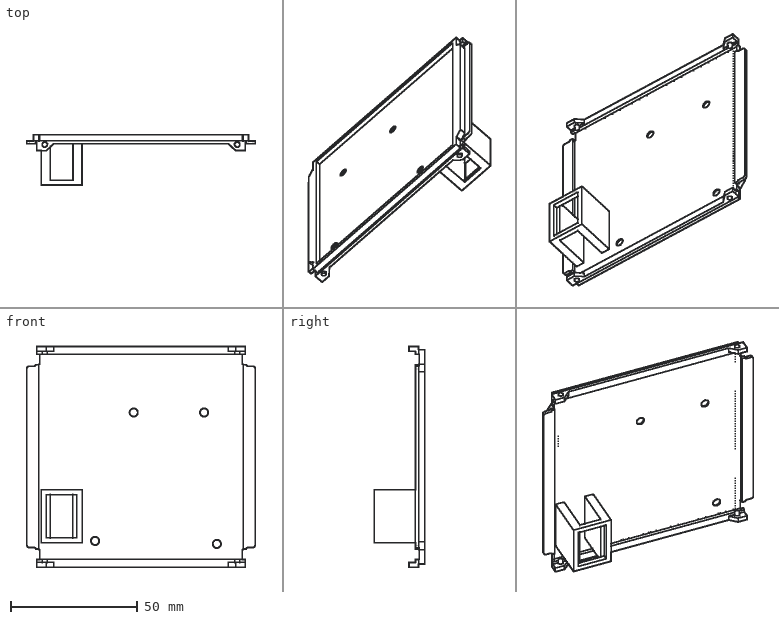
import cadquery as cq

PLATE_THICKNESS = 2.4
PLATE_HALF_HEIGHT = 42.5
PLATE_HALF_WIDTH_MIDDLE = 42.65
PLATE_HALF_WIDTH_ENDS = 40.2
SLANT_START_HALF_HEIGHT = 33.7
SLANT_END_HALF_HEIGHT = 36.8

SHEET_THICKNESS = 0.5
FRONT_RECESS_DEPTH = 0.2
SHEET_FRONT = PLATE_THICKNESS - FRONT_RECESS_DEPTH
POCKET_WALL = 2.0

RIM_THICKNESS = 1.3
RIM_FRONT = PLATE_THICKNESS + RIM_THICKNESS

LIP_HALF_WIDTH = 41.4
LIP_OUTER_HALF_HEIGHT = 87.6 / 2
LIP_HEIGHT = 3.2

EAR_THICKNESS = 2.0
EAR_FRONT = 6.3
EAR_TIP_INNER_X = 37.5
EAR_ROOT_INNER_X = 34.6
EAR_HOLE_DIAMETER = 2.0
EAR_HOLE_X = 38.1
EAR_HOLE_DEPTH_FROM_REAR = 4.0

FLANGE_OUTER_X = 90.55 / 2
FLANGE_INNER_X = 40.5
FLANGE_STEP_X = 41.7
FLANGE_INNER_HALF_HEIGHT = 36.6
FLANGE_STEP_RADIUS = 0.6
FLANGE_SHOULDER_HALF_HEIGHT = FLANGE_INNER_HALF_HEIGHT - FLANGE_STEP_RADIUS
FLANGE_CORNER_RADIUS = 1.0

PLATE_HOLE_DIAMETER = 3.2
UPPER_HOLE_Z = 17.6
PLATE_HOLE_CENTERS = [
    (-2.9, UPPER_HOLE_Z),
    (25.0, UPPER_HOLE_Z),
    (-18.2, -33.3),
    (30.1, -34.5),
]

HOUSING_X = -31.4
HOUSING_Z = -23.5
HOUSING_WIDTH = 16.2
HOUSING_HEIGHT = 21.1
HOUSING_FRONT = 20.0
HOUSING_FRONT_WALL = 2.0
CHANNEL_WIDTH = 9.0
WINDOW_WIDTH = 12.0
WINDOW_HEIGHT = 17.1


def front_plane(depth):
    """XZ sketch plane at a given depth in front of the rear face; extrusion runs toward -Y."""
    return cq.Workplane("XZ").workplane(offset=depth)


def mirror_to_all_quadrants(solid):
    """Join a solid with its mirror images across the X = 0 and Z = 0 planes."""
    both_sides = solid.union(solid.mirror("YZ"))
    return both_sides.union(both_sides.mirror("XY"))


def make_plate():
    quarter = [
        (PLATE_HALF_WIDTH_ENDS, PLATE_HALF_HEIGHT),
        (PLATE_HALF_WIDTH_ENDS, SLANT_END_HALF_HEIGHT),
        (FLANGE_INNER_X, SLANT_END_HALF_HEIGHT),
        (PLATE_HALF_WIDTH_MIDDLE, SLANT_START_HALF_HEIGHT),
    ]
    right_side = quarter + [(x, -z) for x, z in reversed(quarter)]
    left_side = [(-x, z) for x, z in reversed(right_side)]
    plate = front_plane(0).polyline(right_side + left_side).close().extrude(PLATE_THICKNESS)
    pocket = (
        front_plane(0)
        .rect(2 * (PLATE_HALF_WIDTH_ENDS - POCKET_WALL), 2 * (PLATE_HALF_HEIGHT - POCKET_WALL))
        .extrude(SHEET_FRONT - SHEET_THICKNESS)
    )
    front_recess = (
        front_plane(SHEET_FRONT)
        .rect(2 * FLANGE_INNER_X, 2 * (LIP_OUTER_HALF_HEIGHT - LIP_HEIGHT))
        .extrude(FRONT_RECESS_DEPTH)
    )
    holes = front_plane(0).pushPoints(PLATE_HOLE_CENTERS).circle(PLATE_HOLE_DIAMETER / 2)
    return plate.cut(pocket).cut(front_recess).cut(holes.extrude(PLATE_THICKNESS))


def make_lips_with_ears():
    lip_center_z = LIP_OUTER_HALF_HEIGHT - LIP_HEIGHT / 2
    half_lip = (
        front_plane(PLATE_THICKNESS)
        .center(LIP_HALF_WIDTH / 2, lip_center_z)
        .rect(LIP_HALF_WIDTH, LIP_HEIGHT)
        .extrude(RIM_THICKNESS)
    )
    ear_outline = [
        (LIP_HALF_WIDTH, -PLATE_THICKNESS),
        (LIP_HALF_WIDTH, -EAR_FRONT),
        (EAR_TIP_INNER_X, -EAR_FRONT),
        (EAR_ROOT_INNER_X, -RIM_FRONT),
        (EAR_ROOT_INNER_X, -PLATE_THICKNESS),
    ]
    top_plane = cq.Workplane("XY").workplane(offset=LIP_OUTER_HALF_HEIGHT)
    ear = top_plane.polyline(ear_outline).close().extrude(-EAR_THICKNESS)
    hole = (
        top_plane.center(EAR_HOLE_X, -EAR_HOLE_DEPTH_FROM_REAR)
        .circle(EAR_HOLE_DIAMETER / 2)
        .extrude(-LIP_HEIGHT)
    )
    return mirror_to_all_quadrants(half_lip.union(ear).cut(hole))


def make_side_flanges():
    shoulder_start_x = FLANGE_STEP_X + FLANGE_STEP_RADIUS
    shoulder_end_x = FLANGE_OUTER_X - FLANGE_CORNER_RADIUS
    corner_end_z = FLANGE_SHOULDER_HALF_HEIGHT - FLANGE_CORNER_RADIUS
    upper_half = (
        front_plane(PLATE_THICKNESS)
        .moveTo(FLANGE_INNER_X, 0)
        .lineTo(FLANGE_INNER_X, FLANGE_INNER_HALF_HEIGHT)
        .lineTo(FLANGE_STEP_X, FLANGE_INNER_HALF_HEIGHT)
        .radiusArc((shoulder_start_x, FLANGE_SHOULDER_HALF_HEIGHT), -FLANGE_STEP_RADIUS)
        .lineTo(shoulder_end_x, FLANGE_SHOULDER_HALF_HEIGHT)
        .radiusArc((FLANGE_OUTER_X, corner_end_z), FLANGE_CORNER_RADIUS)
        .lineTo(FLANGE_OUTER_X, 0)
        .close()
        .extrude(RIM_THICKNESS)
    )
    return mirror_to_all_quadrants(upper_half)


def make_housing():
    def housing_block(width, height, start, end):
        sketch = front_plane(start).center(HOUSING_X, HOUSING_Z).rect(width, height)
        return sketch.extrude(end - start)

    front_wall_rear = HOUSING_FRONT - HOUSING_FRONT_WALL
    body = housing_block(HOUSING_WIDTH, HOUSING_HEIGHT, SHEET_FRONT, HOUSING_FRONT)
    channel = housing_block(CHANNEL_WIDTH, HOUSING_HEIGHT, SHEET_FRONT, front_wall_rear)
    window = housing_block(WINDOW_WIDTH, WINDOW_HEIGHT, front_wall_rear, HOUSING_FRONT)
    return body.cut(channel).cut(window)


result = (
    make_plate()
    .union(make_lips_with_ears())
    .union(make_side_flanges())
    .union(make_housing())
)